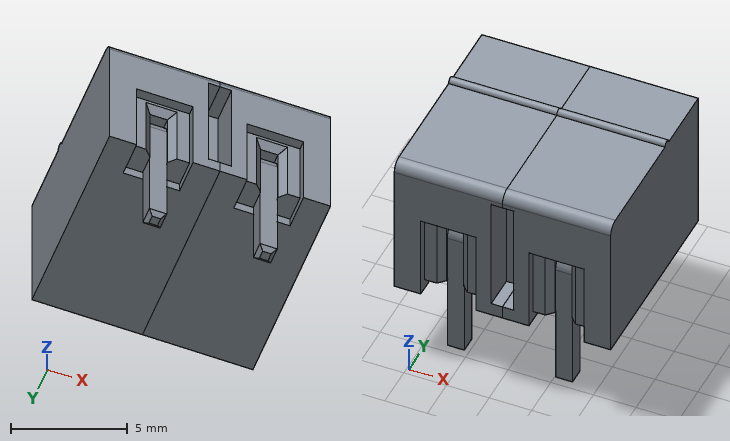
import cadquery as cq


POLE_WIDTH = 5.08
HOUSING_DEPTH = 9.2
BODY_HEIGHT = 6.97
FRONT_FILLET = 0.5

BEAD_RADIUS = 0.2
BEAD_Y = 5.9

PIN_SIZE = 0.8
PIN_FRONT_Y = 0.8
PIN_TOP_Z = 3.66
PIN_REACH = 3.18
TIP_CHAMFER = 0.2
PIN_BACK_Y = PIN_FRONT_Y + PIN_SIZE
TOTAL_HEIGHT = 10.6
PIN_PROTRUSION = TOTAL_HEIGHT - BODY_HEIGHT - BEAD_RADIUS

POCKET_WIDTH = 2.59
POCKET_HEIGHT = 4.14
POCKET_DEPTH = 0.4
FUNNEL_SIZE = 0.32
RELIEF_HEIGHT = 0.5
RELIEF_DEPTH = PIN_BACK_Y

RECESS_WIDTH = 1.05
RECESS_BOTTOM_Z = 0.64
RECESS_TOP_Z = 6.26
RECESS_DEPTH = PIN_BACK_Y

SIDES = (-1, 1)


def box_between(x_range, y_range, z_range):
    """Axis-aligned box given by its limits along X, Y and Z."""
    low = (x_range[0], y_range[0], z_range[0])
    size = (x_range[1] - x_range[0], y_range[1] - y_range[0], z_range[1] - z_range[0])
    return cq.Workplane("XY").box(*size, centered=False).translate(low)


def centered_range(center, width):
    """Limits of a span of the given width around a center."""
    return (center - width / 2, center + width / 2)


def pin_profile():
    """Workplane on X = 0 holding the L-shaped side outline of a pin, down to the tip taper."""
    bend_start_z = PIN_TOP_Z - PIN_SIZE
    shank_end_z = TIP_CHAMFER - PIN_PROTRUSION
    return (
        cq.Workplane("YZ")
        .moveTo(PIN_FRONT_Y, shank_end_z)
        .lineTo(PIN_FRONT_Y, bend_start_z)
        .radiusArc((PIN_BACK_Y, PIN_TOP_Z), PIN_SIZE)
        .lineTo(PIN_REACH, PIN_TOP_Z)
        .lineTo(PIN_REACH, bend_start_z)
        .lineTo(PIN_BACK_Y, bend_start_z)
        .lineTo(PIN_BACK_Y, shank_end_z)
        .close()
    )


def make_pin(center_x):
    """Right-angle square pin with a rounded outer bend and a tapered tip."""
    bent_bar = pin_profile().extrude(PIN_SIZE / 2, both=True)
    tip_end_size = PIN_SIZE - 2 * TIP_CHAMFER
    tip = (
        cq.Workplane("XY", origin=(0, PIN_FRONT_Y + PIN_SIZE / 2, TIP_CHAMFER - PIN_PROTRUSION))
        .rect(PIN_SIZE, PIN_SIZE)
        .workplane(offset=-TIP_CHAMFER)
        .rect(tip_end_size, tip_end_size)
        .loft(ruled=True)
    )
    return bent_bar.union(tip).translate((center_x, 0, 0))


def make_block(x_range):
    """Housing block with its rounded top front edge and the bead on top."""
    block = (
        box_between(x_range, (0, HOUSING_DEPTH), (0, BODY_HEIGHT))
        .edges("|X and <Y and >Z")
        .fillet(FRONT_FILLET)
    )
    bead = (
        cq.Workplane("YZ", origin=(x_range[0], BEAD_Y, BODY_HEIGHT))
        .circle(BEAD_RADIUS)
        .extrude(POLE_WIDTH)
    )
    return block.union(bead)


def make_funnel(center_x):
    """Cutter narrowing at 45 degrees from the pocket wall to the pin slot on its sides and top."""
    mouth_width = PIN_SIZE + 2 * FUNNEL_SIZE
    mouth_top_z = PIN_TOP_Z + FUNNEL_SIZE
    funnel = (
        cq.Workplane("XZ", origin=(center_x, POCKET_DEPTH, 0))
        .center(0, mouth_top_z / 2 - FUNNEL_SIZE / 2)
        .rect(mouth_width, mouth_top_z + FUNNEL_SIZE)
        .workplane(offset=-FUNNEL_SIZE)
        .rect(PIN_SIZE, PIN_TOP_Z)
        .loft(ruled=True)
    )
    keep_zone = box_between(
        centered_range(center_x, mouth_width),
        (POCKET_DEPTH, POCKET_DEPTH + FUNNEL_SIZE),
        (0, mouth_top_z),
    )
    return funnel.intersect(keep_zone)


def make_pin_opening(center_x):
    """Cutter for the front pocket, underside relief, funnel and pin slot."""
    pocket_x = centered_range(center_x, POCKET_WIDTH)
    pin_x = centered_range(center_x, PIN_SIZE)
    pocket = box_between(pocket_x, (0, POCKET_DEPTH), (0, POCKET_HEIGHT))
    relief = box_between(pocket_x, (0, RELIEF_DEPTH), (0, RELIEF_HEIGHT))
    slot = box_between(pin_x, (0, PIN_BACK_Y), (0, PIN_TOP_Z))
    return pocket.union(relief).union(slot).union(make_funnel(center_x))


def make_housing(side, pin):
    """Housing on one side of the mating plane, with a matching cavity for its pin."""
    center_x = side * POLE_WIDTH / 2
    recess = box_between(
        centered_range(0, RECESS_WIDTH), (0, RECESS_DEPTH), (RECESS_BOTTOM_Z, RECESS_TOP_Z)
    )
    return (
        make_block(centered_range(center_x, POLE_WIDTH))
        .cut(make_pin_opening(center_x))
        .cut(recess)
        .cut(pin)
    )


pins = [make_pin(side * POLE_WIDTH / 2) for side in SIDES]
housings = [make_housing(side, pin) for side, pin in zip(SIDES, pins)]

result = cq.Compound.makeCompound([body.solids().val() for body in housings + pins])